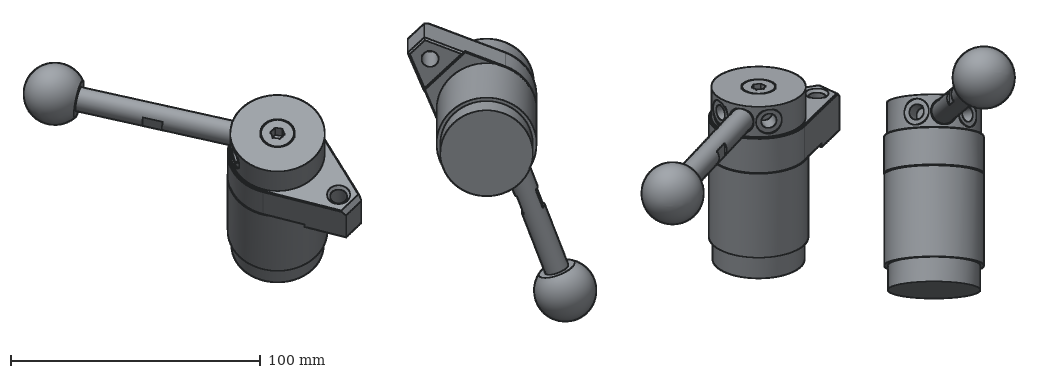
import cadquery as cq
import math

SPIGOT_TOP = 10.0
ARM_BOTTOM = 47.0
ARM_TOP = 62.8
HEAD_TOP = 76.2
PAD_BOTTOM = 45.0
LEVER_Z = 69.4

SPIGOT_RADIUS = 18.5
BASE_RADIUS = 20.0
SPINDLE_RADIUS = 6.5
SOCKET_ACROSS_FLATS = 5.0
SOCKET_DEPTH = 5.0
HEXAGON_HALF_ANGLE = 30.0

ARM_TANGENT_ANGLE = 67.0
ARM_EDGE_CHAMFER = 0.4
NOSE_CHAMFER = 2.0
PAD_START = 23.8
PAD_CHAMFER = 0.8
TIP_HOLE_X = 32.0
TIP_HOLE_RADIUS = 3.4
TIP_COUNTERSINK_RADIUS = 4.6

HEAD_RADIUS = 19.0
HEAD_BORE_RADIUS = 7.0
LEVER_ANGLE = 205.0
SEAT_SPACING = 35.0
SEAT_RADIUS = 5.3
SEAT_DISTANCE = math.sqrt(HEAD_RADIUS**2 - SEAT_RADIUS**2)
STUD_RADIUS = 3.1
STUD_LENGTH = 7.5
STUD_START = SEAT_DISTANCE - STUD_LENGTH

ROD_DIAMETER = 10.0
ROD_RADIUS = ROD_DIAMETER / 2
FLATS_ACROSS = 8.0
FLATS_LENGTH = 8.2
FLATS_DISTANCE = 50.7
BALL_DISTANCE = 92.4
BALL_RADIUS = 12.5
BALL_FACE_OFFSET = 10.0
BALL_FACE_DISTANCE = BALL_DISTANCE - BALL_FACE_OFFSET

OVERALL_LENGTH = 136.3
BALL_CENTER_X = BALL_DISTANCE * math.cos(math.radians(LEVER_ANGLE))
ARM_REACH = OVERALL_LENGTH + BALL_CENTER_X - BALL_RADIUS


def upright_cylinder(radius, bottom, top, x=0):
    return cq.Workplane("XY", origin=(x, 0, bottom)).circle(radius).extrude(top - bottom)


def radial_cylinder(radius, start, end):
    """Cylinder along +X at lever height, from start to end."""
    return cq.Workplane("YZ", origin=(start, 0, LEVER_Z)).circle(radius).extrude(end - start)


def turn(body, angle):
    """Swing a body about the clamp axis."""
    return body.rotate((0, 0, 0), (0, 0, 1), angle)


def make_base():
    spigot = upright_cylinder(SPIGOT_RADIUS, 0, SPIGOT_TOP)
    barrel = upright_cylinder(BASE_RADIUS, SPIGOT_TOP, ARM_BOTTOM)
    spindle = upright_cylinder(SPINDLE_RADIUS, ARM_BOTTOM, HEAD_TOP)
    across_corners = SOCKET_ACROSS_FLATS / math.cos(math.radians(HEXAGON_HALF_ANGLE))
    socket = cq.Workplane("XY", origin=(0, 0, HEAD_TOP)).polygon(6, across_corners).extrude(-SOCKET_DEPTH)
    return spigot.union(barrel).union(spindle).cut(turn(socket, HEXAGON_HALF_ANGLE))


def arm_blank():
    """Arm outline at full height, down to the underside of the pad."""
    angle = math.radians(ARM_TANGENT_ANGLE)
    tangent_x = BASE_RADIUS * math.cos(angle)
    tangent_y = BASE_RADIUS * math.sin(angle)
    nose_half_width = (BASE_RADIUS - ARM_REACH * math.cos(angle)) / math.sin(angle)
    return (
        cq.Workplane("XY", origin=(0, 0, PAD_BOTTOM))
        .moveTo(ARM_REACH, -nose_half_width)
        .lineTo(ARM_REACH, nose_half_width)
        .lineTo(tangent_x, tangent_y)
        .threePointArc((-BASE_RADIUS, 0), (tangent_x, -tangent_y))
        .close()
        .extrude(ARM_TOP - PAD_BOTTOM)
    )


def tip_hole():
    """Countersunk through hole near the nose."""
    sink_depth = TIP_COUNTERSINK_RADIUS - TIP_HOLE_RADIUS
    hole = upright_cylinder(TIP_HOLE_RADIUS, PAD_BOTTOM, ARM_TOP, TIP_HOLE_X)
    sink = (
        cq.Workplane("XY", origin=(TIP_HOLE_X, 0, ARM_TOP))
        .circle(TIP_COUNTERSINK_RADIUS)
        .extrude(-sink_depth, taper=45)
    )
    return hole.union(sink)


def make_arm():
    hub_length = PAD_START + BASE_RADIUS
    hub_relief = cq.Workplane("XY").box(
        hub_length, 2 * BASE_RADIUS, ARM_BOTTOM - PAD_BOTTOM, centered=(False, True, False)
    )
    arm = arm_blank().cut(hub_relief.translate((-BASE_RADIUS, 0, PAD_BOTTOM)))
    arm = arm.faces("<Z").chamfer(PAD_CHAMFER)
    arm = arm.faces(">X").edges(">Z").chamfer(NOSE_CHAMFER)
    arm = arm.faces(">Z").edges("not >X").chamfer(ARM_EDGE_CHAMFER)
    arm = arm.faces("<Z[1]").edges("not >X").chamfer(ARM_EDGE_CHAMFER)
    bore = upright_cylinder(SPINDLE_RADIUS, ARM_BOTTOM, ARM_TOP)
    return arm.cut(bore).cut(tip_hole())


def make_head():
    head = upright_cylinder(HEAD_RADIUS, ARM_TOP, HEAD_TOP)
    flat = radial_cylinder(SEAT_RADIUS, SEAT_DISTANCE, HEAD_RADIUS)
    stud_hole = radial_cylinder(STUD_RADIUS, STUD_START, SEAT_DISTANCE)
    seat = flat.union(stud_hole)
    for step in (-1, 0, 1):
        head = head.cut(turn(seat, LEVER_ANGLE + step * SEAT_SPACING))
    return head.cut(upright_cylinder(HEAD_BORE_RADIUS, ARM_TOP, HEAD_TOP))


def make_rod():
    rod = radial_cylinder(ROD_RADIUS, SEAT_DISTANCE, BALL_FACE_DISTANCE)
    side_cut = cq.Workplane("XY").box(FLATS_LENGTH, ROD_RADIUS, 2 * ROD_RADIUS)
    for side in (-1, 1):
        cut_y = side * (FLATS_ACROSS + ROD_RADIUS) / 2
        rod = rod.cut(side_cut.translate((FLATS_DISTANCE, cut_y, LEVER_Z)))
    stud = radial_cylinder(STUD_RADIUS, STUD_START, SEAT_DISTANCE)
    return turn(rod.union(stud), LEVER_ANGLE)


def make_ball():
    """Ball knob with a flat face that butts against the end of the rod."""
    face_radius = math.sqrt(BALL_RADIUS**2 - BALL_FACE_OFFSET**2)
    ball = (
        cq.Workplane("XY", origin=(BALL_DISTANCE, 0, LEVER_Z))
        .moveTo(-BALL_FACE_OFFSET, 0)
        .lineTo(-BALL_FACE_OFFSET, face_radius)
        .threePointArc((0, BALL_RADIUS), (BALL_RADIUS, 0))
        .close()
        .revolve(360, (0, 0, 0), (1, 0, 0))
    )
    return turn(ball, LEVER_ANGLE)


base = make_base()
arm = make_arm()
head = make_head()
rod = make_rod()
ball = make_ball()

bodies = (base, arm, head, rod, ball)
result = cq.Compound.makeCompound([body.solids().val() for body in bodies])